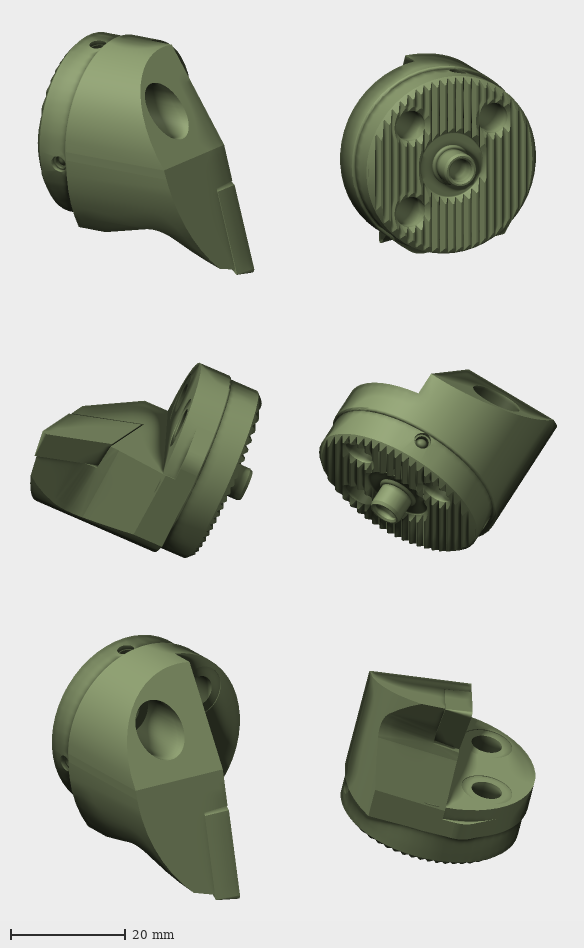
import cadquery as cq
import math


disc_radius = 16.0
rim_chamfer = 1.15
tooth_pitch = 1.5
tooth_tip_width = 0.3
groove_floor_width = 0.15
flank_half_angle = 30.0
flank_run = (tooth_pitch - tooth_tip_width - groove_floor_width) / 2
tooth_height = flank_run / math.tan(math.radians(flank_half_angle))
groove_count = 22

body_radius = 16.5
shoulder_fillet = body_radius - disc_radius
flange_front = 6.9
flange_back = 12.44
foot_back = 10.1
foot_fillet = 4.5
foot_corner = (8.5, 4.4, -17.3)
foot_tangent_angle = -53.1
side_flat_height = 1.54
belly_radius = 23.6
blank_end = 40.0
blank_bottom = -26.0
belly_end = -24.0
foot_flank_end = -20.0
trim_reach = 30.0
trim_overrun = 5.0
arm_trim_length = 20.0

end_top_x = 16.63
end_bend_x = 28.3
end_bend_z = 0.1
lower_end_slope = 0.32
end_relief = 0.0723

underside_z = -16.7
ramp_start_x = 11.9
throat_x = 24.2
throat_z = -13.57
arm_angle = 35.9
throat_radius = 7.1
underside_relief = (-0.04, -0.14)

rake_angle = 3.6
rake_zero_z = -22.0
insert_tip_x = 36.06
insert_tip_z = -23.1
insert_edge = 17.2
insert_thickness = 4.76
insert_corner_angle = 35.0
front_edge_angle = 107.7
lower_edge_angle = front_edge_angle + insert_corner_angle
insert_relief_angle = 7.0
nose_radius = 0.65
pocket_gap = 0.25

screw_offset = 7.78
screw_diameter = 5.45
screw_head_diameter = 9.1
screw_seat = 12.3
screw_centres = [(screw_offset, screw_offset), (-screw_offset, screw_offset), (screw_offset, -screw_offset)]

recess_radius = 5.93
recess_floor = 1.15
recess_fillet = 0.25
spigot_radius = 3.0
spigot_length = 3.75
spigot_tip_radius = 2.72
spigot_tip_taper = 0.58
spigot_root_fillet = 0.6
bore_radius = 2.08
bore_chamfer = 0.32
bore_depth = 7.0
drill_half_angle = 59.0

plug_angles = (10.0, 100.0)
plug_x = 4.92
plug_hole_radius = 1.5
ball_radius = 1.2
ball_distance = 13.8
sleeve_top = 15.2
plug_floor = ball_distance - ball_radius


def cylinder_x(radius, x_start, x_end, y=0, z=0):
    return cq.Workplane("YZ", origin=(x_start, y, z)).circle(radius).extrude(x_end - x_start)


def cone_x(radius, depth, y=0, z=0):
    """45 degree countersink that reaches the given radius at the given depth."""
    outline = [(0, 0), (0, radius + depth), (depth, radius), (depth, 0)]
    return (
        cq.Workplane("XY", origin=(0, y, z))
        .polyline(outline).close()
        .revolve(360, (0, 0, 0), (1, 0, 0))
    )


def sheared_prism(profile, x_per_y, z_per_y):
    """Prism of an XZ profile, given at Y = 0, swept along a direction close to Y."""
    wire = profile.val().translate(cq.Vector(x_per_y, 1, z_per_y) * -trim_reach)
    sweep = cq.Vector(x_per_y, 1, z_per_y) * (2 * trim_reach)
    return cq.Workplane(cq.Solid.extrudeLinear(wire, [], sweep))


def coupling_disc():
    """Disc with a chamfered rim and a concave fillet where it meets the flange."""
    return (
        cq.Workplane("XY")
        .moveTo(0, 0)
        .lineTo(0, disc_radius - rim_chamfer)
        .lineTo(rim_chamfer, disc_radius)
        .lineTo(flange_front - shoulder_fillet, disc_radius)
        .radiusArc((flange_front, body_radius), shoulder_fillet)
        .lineTo(flange_front, 0)
        .close()
        .revolve(360, (0, 0, 0), (1, 0, 0))
    )


def serration_grooves():
    half_floor = groove_floor_width / 2
    half_mouth = (tooth_pitch - tooth_tip_width) / 2
    outline = [(0, -half_mouth), (tooth_height, -half_floor), (tooth_height, half_floor), (0, half_mouth)]
    first = -(groove_count - 1) / 2 * tooth_pitch
    centres = [(0, first + i * tooth_pitch) for i in range(groove_count)]
    length = 3 * body_radius
    return (
        cq.Workplane("XY", origin=(0, 0, -length / 2))
        .pushPoints(centres)
        .eachpoint(
            lambda place: cq.Workplane("XY").polyline(outline).close().extrude(length).val().located(place),
            combine=False,
        )
    )


def body_blank(x_end):
    """Section that is round above, bulges below the side flat and runs down past the foot flank."""
    tangent = math.radians(foot_tangent_angle)
    foot_start = (body_radius * math.cos(tangent), body_radius * math.sin(tangent))
    foot_drop = foot_start[1] - foot_flank_end
    foot_end = (foot_start[0] + foot_drop * math.tan(tangent), foot_flank_end)
    belly_centre_y = belly_radius - body_radius

    def belly_point(z):
        rise = z + side_flat_height
        return (belly_centre_y - math.sqrt(belly_radius**2 - rise**2), z)

    return (
        cq.Workplane("YZ", origin=(flange_front, 0, 0))
        .moveTo(*foot_start)
        .threePointArc((0, body_radius), (-body_radius, 0))
        .lineTo(-body_radius, -side_flat_height)
        .threePointArc(belly_point(belly_end / 2), belly_point(belly_end))
        .lineTo(belly_point(belly_end)[0], blank_bottom)
        .lineTo(foot_end[0], blank_bottom)
        .lineTo(*foot_end)
        .close()
        .extrude(x_end - flange_front)
    )


def end_envelope():
    """Space left of the two sloping end faces."""
    drop = end_bend_z - blank_bottom
    slope_up = (end_bend_x - end_top_x) / (body_radius - end_bend_z)
    profile = (
        cq.Workplane("XZ")
        .moveTo(end_top_x - trim_overrun * slope_up, body_radius + trim_overrun)
        .lineTo(end_bend_x, end_bend_z)
        .lineTo(end_bend_x + drop * lower_end_slope, blank_bottom)
        .lineTo(-blank_end, blank_bottom)
        .lineTo(-blank_end, body_radius + trim_overrun)
        .close()
        .wire()
    )
    return sheared_prism(profile, end_relief, 0)


def underside_cut():
    """Space below the flat, the ramp, the rounded throat and the arm."""
    ramp_angle = math.degrees(math.atan2(throat_z - underside_z, throat_x - ramp_start_x))
    turn = ramp_angle + arm_angle
    reach = throat_radius * math.tan(math.radians(turn / 2))

    def from_throat(distance, angle):
        return (
            throat_x + distance * math.cos(math.radians(angle)),
            throat_z + distance * math.sin(math.radians(angle)),
        )

    below = 2 * blank_bottom
    arm_end = from_throat(arm_trim_length, -arm_angle)
    profile = (
        cq.Workplane("XZ")
        .moveTo(-blank_end, underside_z)
        .lineTo(ramp_start_x, underside_z)
        .lineTo(*from_throat(reach, ramp_angle - 180))
        .radiusArc(from_throat(reach, -arm_angle), throat_radius)
        .lineTo(*arm_end)
        .lineTo(arm_end[0], below)
        .lineTo(-blank_end, below)
        .close()
        .wire()
    )
    return sheared_prism(profile, *underside_relief)


def below_rake():
    """Space on the -Y side of the rake plane."""
    lean = math.tan(math.radians(rake_angle))
    top = 2 * body_radius
    bottom = 2 * blank_bottom
    deep = -3 * body_radius
    outline = [
        (deep, bottom),
        (lean * (bottom - rake_zero_z), bottom),
        (lean * (top - rake_zero_z), top),
        (deep, top),
    ]
    return cq.Workplane("YZ").polyline(outline).close().extrude(2 * blank_end)


def insert_plane():
    """Rake plane at the sharp insert corner: local x is X, local y is nearly Z, normal goes into the body."""
    lean = math.radians(rake_angle)
    tip_y = math.tan(lean) * (insert_tip_z - rake_zero_z)
    return cq.Plane(
        origin=(insert_tip_x, tip_y, insert_tip_z),
        xDir=(1, 0, 0),
        normal=(0, -math.cos(lean), math.sin(lean)),
    )


def along(distance, angle):
    """Vector from the insert tip, within the rake plane."""
    return cq.Vector(distance * math.cos(math.radians(angle)), distance * math.sin(math.radians(angle)))


def insert_solid():
    half_corner = insert_corner_angle / 2
    tangent = nose_radius / math.tan(math.radians(half_corner))
    nose_setback = nose_radius / math.sin(math.radians(half_corner)) - nose_radius
    front = along(insert_edge, front_edge_angle)
    lower = along(insert_edge, lower_edge_angle)
    return (
        cq.Workplane(insert_plane())
        .moveTo(*along(tangent, front_edge_angle).toTuple()[:2])
        .lineTo(front.x, front.y)
        .lineTo(front.x + lower.x, front.y + lower.y)
        .lineTo(lower.x, lower.y)
        .lineTo(*along(tangent, lower_edge_angle).toTuple()[:2])
        .threePointArc(
            along(nose_setback, front_edge_angle + half_corner).toTuple()[:2],
            along(tangent, front_edge_angle).toTuple()[:2],
        )
        .close()
        .extrude(insert_thickness, taper=insert_relief_angle)
    )


def insert_pocket():
    """Recess for the insert, open past both of its cutting edges."""
    side = insert_edge + pocket_gap / math.sin(math.radians(insert_corner_angle))
    back = along(side, front_edge_angle) + along(side, lower_edge_angle)
    front = back - along(side + trim_overrun, lower_edge_angle)
    lower = back - along(side + trim_overrun, front_edge_angle)
    outer = front + lower - back
    corners = [(p.x, p.y) for p in (back, front, outer, lower)]
    return (
        cq.Workplane(insert_plane())
        .polyline(corners).close()
        .extrude(insert_thickness, taper=insert_relief_angle)
    )


def spigot():
    """Spigot with a tapered tip, turned together with the fillet at its root."""
    root_x = recess_floor
    return (
        cq.Workplane("XY")
        .moveTo(-spigot_length, 0)
        .lineTo(-spigot_length, spigot_tip_radius)
        .lineTo(spigot_tip_taper - spigot_length, spigot_radius)
        .lineTo(root_x - spigot_root_fillet, spigot_radius)
        .radiusArc((root_x, spigot_radius + spigot_root_fillet), spigot_root_fillet)
        .lineTo(flange_front, spigot_radius + spigot_root_fillet)
        .lineTo(flange_front, 0)
        .close()
        .revolve(360, (0, 0, 0), (1, 0, 0))
    )


def spigot_bore():
    mouth = -spigot_length
    return (
        cq.Workplane("XY")
        .moveTo(mouth, 0)
        .lineTo(mouth, bore_radius + bore_chamfer)
        .lineTo(mouth + bore_chamfer, bore_radius)
        .lineTo(bore_depth, bore_radius)
        .lineTo(bore_depth + bore_radius / math.tan(math.radians(drill_half_angle)), 0)
        .close()
        .revolve(360, (0, 0, 0), (1, 0, 0))
    )


def centre_recess():
    return cylinder_x(recess_radius, 0, recess_floor).faces(">X").edges().fillet(recess_fillet)


def at_plug_angles(shape):
    """Copies of a shape, modelled on +Z, at every plug position."""
    return [shape.rotate((0, 0, 0), (1, 0, 0), angle) for angle in plug_angles]


def plug_hole():
    return (
        cq.Workplane("XY", origin=(plug_x, 0, plug_floor))
        .circle(plug_hole_radius)
        .extrude(body_radius - plug_floor)
    )


def plug_sleeve():
    return (
        cq.Workplane("XY", origin=(plug_x, 0, plug_floor))
        .circle(plug_hole_radius)
        .circle(ball_radius)
        .extrude(sleeve_top - plug_floor)
    )


def plug_ball():
    return cq.Workplane("XY", origin=(plug_x, 0, ball_distance)).sphere(ball_radius)


def head_solid():
    underside = underside_cut()
    foot = body_blank(foot_back).cut(underside)
    foot = foot.edges(cq.NearestToPointSelector(foot_corner)).fillet(foot_fillet)
    flange = cylinder_x(body_radius, flange_front, flange_back)
    arm = body_blank(blank_end).intersect(end_envelope()).intersect(below_rake()).cut(underside)
    arm = arm.cut(insert_pocket())
    disc = coupling_disc().cut(serration_grooves())
    disc = disc.cut(cone_x(recess_radius, tooth_height)).cut(centre_recess())
    for y, z in screw_centres:
        disc = disc.cut(cone_x(screw_diameter / 2, tooth_height, y, z))
    head = foot.union(flange).union(arm).union(disc).union(spigot()).cut(spigot_bore())
    for y, z in screw_centres:
        head = head.cut(cylinder_x(screw_diameter / 2, 0, blank_end, y, z))
        head = head.cut(cylinder_x(screw_head_diameter / 2, screw_seat, blank_end, y, z))
    for hole in at_plug_angles(plug_hole()):
        head = head.cut(hole)
    return head


head = head_solid()
insert = insert_solid()
sleeves = at_plug_angles(plug_sleeve())
balls = at_plug_angles(plug_ball())

result = cq.Compound.makeCompound(
    [head.val(), insert.val(), *[sleeve.val() for sleeve in sleeves], *[ball.val() for ball in balls]]
)